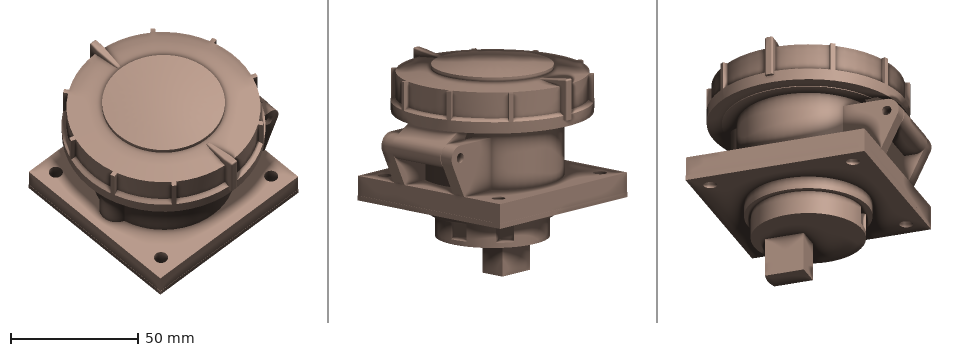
import cadquery as cq
import math

overall_height = 87.4

plate_side = 75.0
plate_height = 10.0
gasket_height = 2.0
gasket_overhang = 0.1
screw_hole_spacing = 59.9
screw_hole_diameter = 5.5

barrel_radius = 28.3
barrel_top = 35.2
key_radius = 6.8
key_reach = 32.3

collar_radius = 25.3
collar_height = 5.1
cup_radius = 22.7
cup_height = 9.6
cup_bottom = -collar_height - cup_height
notch_axis_angle = 120.0
notch_offset = 9.3
notch_width = 6.6
notch_floor = 15.0
notch_height = 7.6
tongue_width = 10.3
tongue_radius = 17.0
tongue_height = 16.0

hinge_width = 37.05
arm_width = 25.7
hinge_z = 26.0
pin_diameter = 4.0
lug_pivot_y = 39.8
lug_radius = 5.1
arm_pivot_y = 40.2
arm_radius = 4.9
arm_inner_top_y = 28.5
arm_outer_top_y = 33.9
arm_inner_bottom_y = 35.5

seat_radius = 34.1
skirt_bottom = 35.5
skirt_bottom_radius = 40.0
skirt_radius = 40.2
skirt_top = 40.1
cap_radius = 38.2
cap_wall_bottom = 41.2
cap_wall_top = 51.6
roof_top = 52.9
disc_radius = 24.2
disc_top = 54.5
dome_top = cup_bottom - tongue_height + overall_height

grip_count = 10
grip_turn = -1.6
rib_width = 1.9
rib_root = 37.2
wing_positions = (0, grip_count // 2)
wing_reach = 41.7
wing_shoulder = 37.2
wing_tip = 25.6
wing_end_width = 3.3
wing_shoulder_width = 3.7
wing_tip_width = 1.9
wing_bottom = 38.4
wing_crest = 55.0
wing_tip_top = 52.9
wing_edge_radius = 0.7


def cylinder(radius, bottom, top):
    return cq.Workplane("XY").workplane(offset=bottom).circle(radius).extrude(top - bottom)


def cross_section(width, center_x=0.0):
    """YZ sketch plane whose extrusion by `width` is centred on `center_x`."""
    return cq.Workplane("YZ").workplane(offset=center_x - width / 2)


def tangent_point(point, center, radius, side):
    """Point where a line from `point` touches a circle; `side` (+1 or -1) picks one of the two."""
    dy = point[0] - center[0]
    dz = point[1] - center[1]
    angle = math.atan2(dz, dy) + side * math.acos(radius / math.hypot(dy, dz))
    return point_on_circle(center, radius, angle)


def point_on_circle(center, radius, angle):
    return (center[0] + radius * math.cos(angle), center[1] + radius * math.sin(angle))


def pin_hole(pivot_y):
    return (
        cross_section(hinge_width)
        .center(pivot_y, hinge_z)
        .circle(pin_diameter / 2)
        .extrude(hinge_width)
    )



def mounting_plate():
    plate = cq.Workplane("XY").rect(plate_side, plate_side).extrude(plate_height)
    gasket_side = plate_side + 2 * gasket_overhang
    gasket = cq.Workplane("XY").rect(gasket_side, gasket_side).extrude(gasket_height)
    screw_holes = (
        cq.Workplane("XY")
        .rect(screw_hole_spacing, screw_hole_spacing, forConstruction=True)
        .vertices()
        .circle(screw_hole_diameter / 2)
        .extrude(plate_height)
    )
    return plate.union(gasket).cut(screw_holes)


def barrel():
    key = cylinder(key_radius, plate_height, barrel_top).translate((0, key_radius - key_reach, 0))
    return cylinder(barrel_radius, 0, barrel_top).union(key)


def hinge_lug(center_x):
    """Upright lug reaching back to the barrel, rounded around the hinge pin."""
    width = (hinge_width - arm_width) / 2
    pivot = (lug_pivot_y, hinge_z)
    foot = (plate_side / 2, plate_height)
    root_y = math.sqrt(barrel_radius**2 - (hinge_width / 2) ** 2)
    lug_top = hinge_z + lug_radius
    return (
        cross_section(width, center_x)
        .moveTo(root_y, plate_height)
        .lineTo(*foot)
        .lineTo(*tangent_point(foot, pivot, lug_radius, 1))
        .threePointArc((lug_pivot_y + lug_radius, hinge_z), (lug_pivot_y, lug_top))
        .lineTo(root_y, lug_top)
        .close()
        .extrude(width)
    )


def cup_notch(side):
    """Pocket in the side of the cup, parallel to and on one side of the notch axis."""
    length = cup_radius
    return (
        cq.Workplane("XY")
        .box(length, notch_width, notch_height, centered=(False, True, False))
        .translate((notch_floor, side * notch_offset, -collar_height - notch_height))
        .rotate((0, 0, 0), (0, 0, 1), notch_axis_angle)
    )


def contact_insert():
    collar = cylinder(collar_radius, -collar_height, 0)
    cup = cylinder(cup_radius, cup_bottom, -collar_height)
    for side in (-1, 1):
        cup = cup.cut(cup_notch(side))
    return collar.union(cup).union(tongue())


def tongue():
    """Flat-backed tongue whose front follows a cylinder about the socket axis."""
    half_width = tongue_width / 2
    front_corner_y = -math.sqrt(tongue_radius**2 - half_width**2)
    return (
        cq.Workplane("XY")
        .workplane(offset=cup_bottom)
        .moveTo(-half_width, 0)
        .lineTo(-half_width, front_corner_y)
        .threePointArc((0, -tongue_radius), (half_width, front_corner_y))
        .lineTo(half_width, 0)
        .close()
        .extrude(-tongue_height)
    )


def make_socket():
    body = mounting_plate().union(barrel()).union(contact_insert())
    lug_center_x = (hinge_width + arm_width) / 4
    for side in (-1, 1):
        body = body.union(hinge_lug(side * lug_center_x))
    return body.cut(pin_hole(lug_pivot_y))



def cap_shell():
    dome_rise = dome_top - disc_top
    dome_radius = (disc_radius**2 + dome_rise**2) / (2 * dome_rise)
    mid_radius = disc_radius / 2
    mid_z = dome_top - dome_radius + math.sqrt(dome_radius**2 - mid_radius**2)
    return (
        cq.Workplane("XZ")
        .moveTo(0, barrel_top)
        .lineTo(seat_radius, barrel_top)
        .lineTo(seat_radius, skirt_bottom)
        .lineTo(skirt_bottom_radius, skirt_bottom)
        .lineTo(skirt_radius, skirt_top)
        .lineTo(cap_radius, cap_wall_bottom)
        .lineTo(cap_radius, cap_wall_top)
        .lineTo(disc_radius, roof_top)
        .lineTo(disc_radius, disc_top)
        .threePointArc((mid_radius, mid_z), (0, dome_top))
        .close()
        .revolve(360, (0, 0, 0), (0, 1, 0))
    )


def grip_rib():
    """Radial bar on the cap wall, trimmed flush with the rim of the skirt."""
    bar = (
        cq.Workplane("XY")
        .box(skirt_radius, rib_width, cap_wall_top - skirt_top, centered=(False, True, False))
        .translate((rib_root, 0, skirt_top))
    )
    return bar.intersect(cylinder(skirt_radius, skirt_top, cap_wall_top))


def wing():
    """Tapered radial blade with a sloping crest and rounded outer and upper edges."""
    plan = (
        cq.Workplane("XY")
        .workplane(offset=wing_bottom)
        .moveTo(wing_tip, -wing_tip_width / 2)
        .lineTo(wing_shoulder, -wing_shoulder_width / 2)
        .lineTo(wing_reach, -wing_end_width / 2)
        .lineTo(wing_reach, wing_end_width / 2)
        .lineTo(wing_shoulder, wing_shoulder_width / 2)
        .lineTo(wing_tip, wing_tip_width / 2)
        .close()
        .extrude(wing_crest - wing_bottom)
    )
    above_crest = (
        cq.Workplane("XZ")
        .moveTo(wing_tip, wing_tip_top)
        .lineTo(wing_reach, wing_crest)
        .lineTo(wing_tip, wing_crest)
        .close()
        .extrude(wing_shoulder_width, both=True)
    )
    blade = plan.cut(above_crest)
    blade = blade.edges("|Z and >X").fillet(wing_edge_radius)
    return blade.faces(">Z").edges().fillet(wing_edge_radius)


def hinge_arm():
    """Arm that hangs from the skirt between the lugs and wraps around the hinge pin."""
    pivot = (arm_pivot_y, hinge_z)
    outer_top = (arm_outer_top_y, skirt_bottom)
    outline = (
        cross_section(arm_width)
        .moveTo(arm_inner_top_y, skirt_bottom)
        .lineTo(arm_inner_bottom_y, hinge_z - arm_radius)
        .lineTo(arm_pivot_y, hinge_z - arm_radius)
        .threePointArc(
            (arm_pivot_y + arm_radius, hinge_z),
            tangent_point(outer_top, pivot, arm_radius, -1),
        )
        .lineTo(*outer_top)
        .close()
    )
    return outline.extrude(arm_width).cut(pin_hole(arm_pivot_y))


def make_cap():
    body = cap_shell()
    for position in range(grip_count):
        angle = grip_turn + position * 360 / grip_count
        grip = wing() if position in wing_positions else grip_rib()
        body = body.union(grip.rotate((0, 0, 0), (0, 0, 1), angle))
    return body.union(hinge_arm())


socket = make_socket()
cap = make_cap()
result = cq.Compound.makeCompound([socket.val(), cap.val()])